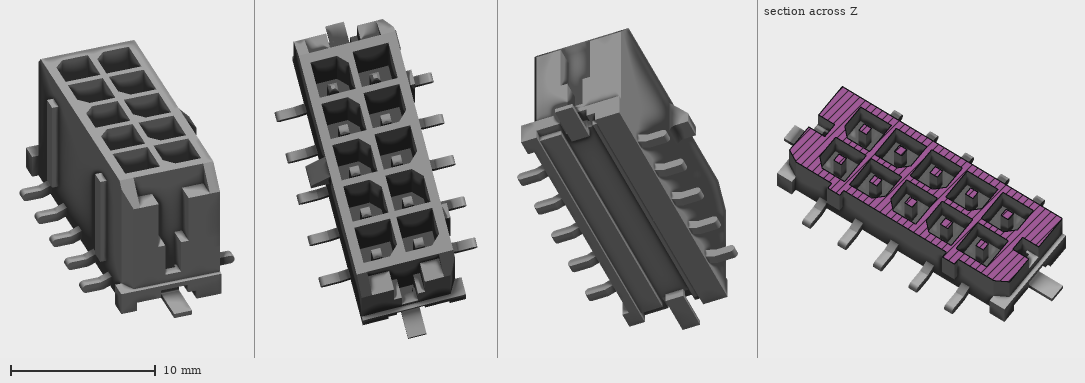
import cadquery as cq
import math

length = 22.65
height = 9.97
leg_span = 11.2

columns = 5
pitch = 3.0
contact_width = 0.65
pin_top = 5.44
pin_tip_height = 0.45
pin_tip_width = 0.27

body_length = 18.62
body_depth = 6.89
top_length = 15.9
shoulder_z = 8.31
corner_run = 0.95
corner_depth = 0.55
half_body = body_length / 2
half_depth = body_depth / 2
half_top = top_length / 2

foot_half_length = 9.6
foot_front = -3.92
foot_height = 1.65
foot_inner_x = half_body - corner_run

cavity_width = 2.55
cavity_floor = 1.81
cavity_corner = 0.68
back_row_keys = (-1, 1, 1, 1, 1)
front_row_keys = (-1, 1, -1, -1, 0)

end_recess_front = -2.42
end_recess_back = 2.7
wide_slot_front = -1.06
wide_slot_back = 1.13
wide_slot_floor = 4.75
narrow_slot_width = 1.15
narrow_slot_floor = 2.3
nail_hole_width = 0.82
nail_hole_step_x = 8.35

tab_width = 1.31
tab_thickness = 0.35
tab_height = 1.3
tab_upright_x = 8.65
tab_bend_radius = 0.1
tab_recess_width = 2.0
tab_recess_x = 8.52

channel_width = 2.35
channel_height = 0.68
clearance_front = -2.76
clearance_back = 1.6
clearance_height = 0.27
end_notch_depth = 0.63

rib_width = 1.05
rib_offset = 4.85
latch_width = 1.45
latch_reach = 1.38
latch_top = 9.42
latch_nose_top = 7.85
latch_nose_bottom = 7.02
latch_fillet = 0.45

leg_thickness = 0.63
leg_bend_y = 4.2
leg_rise = 0.3
leg_root_inset = 0.23


def block(x_range, y_range, z_range):
    """Box spanning the given pairs of limits, in any order."""
    limits = [sorted(pair) for pair in (x_range, y_range, z_range)]
    sizes = [high - low for low, high in limits]
    corner = tuple(low for low, high in limits)
    return cq.Workplane("XY").box(*sizes, centered=False).translate(corner)


def centered_range(width, middle=0.0):
    return (middle - width / 2, middle + width / 2)


def housing_shell():
    """Block with sloped upper ends and bevelled front vertical corners."""
    plan = [
        (-half_body, half_depth),
        (-half_body, corner_depth - half_depth),
        (-foot_inner_x, -half_depth),
        (foot_inner_x, -half_depth),
        (half_body, corner_depth - half_depth),
        (half_body, half_depth),
    ]
    elevation = [
        (-half_body, 0),
        (half_body, 0),
        (half_body, shoulder_z),
        (half_top, height),
        (-half_top, height),
        (-half_body, shoulder_z),
    ]
    prism = cq.Workplane("XY").polyline(plan).close().extrude(height)
    profile = cq.Workplane("XZ").polyline(elevation).close().extrude(half_depth, both=True)
    return prism.intersect(profile)


def end_foot(side):
    return block(
        (side * foot_inner_x, side * foot_half_length), (foot_front, half_depth), (0, foot_height)
    )


def end_pockets(side):
    """Stepped slot in one end face, with the hole for the solder tab in its floor."""
    outside = side * foot_half_length
    inner = side * half_top
    recess = block((inner, outside), (end_recess_front, end_recess_back), (shoulder_z, height))
    wide = block((inner, outside), (wide_slot_front, wide_slot_back), (wide_slot_floor, height))
    narrow_y = centered_range(narrow_slot_width)
    narrow = block((inner, outside), narrow_y, (narrow_slot_floor, height))
    hole_z = (tab_height, narrow_slot_floor)
    hole = block((inner, side * tab_upright_x), centered_range(nail_hole_width), hole_z)
    hole_back = block((inner, side * nail_hole_step_x), narrow_y, hole_z)
    return recess.union(wide).union(narrow).union(hole).union(hole_back)


def underside_clearance():
    """Lengthwise channels under the housing and the notches that open them at the ends."""
    x_range = (-foot_half_length, foot_half_length)
    clearance_y = (clearance_front, clearance_back)
    cut = block(x_range, centered_range(channel_width), (0, channel_height))
    cut = cut.union(block(x_range, clearance_y, (0, clearance_height)))
    for side in (-1, 1):
        notch_x = (side * (foot_half_length - end_notch_depth), side * foot_half_length)
        cut = cut.union(block(notch_x, clearance_y, (0, channel_height)))
        recess_x = (side * tab_recess_x, side * foot_half_length)
        cut = cut.union(block(recess_x, centered_range(tab_recess_width), (0, tab_height)))
    return cut


def solder_tab(side):
    """L-shaped tab: a flat tongue with an upright rising into the housing."""
    tab_y = centered_range(tab_width)
    upright_inner_x = side * (tab_upright_x - tab_thickness)
    tongue = block((upright_inner_x, side * length / 2), tab_y, (0, tab_thickness))
    upright = block((upright_inner_x, side * tab_upright_x), tab_y, (0, tab_height))
    bend_x = side * tab_upright_x
    inside_bend = cq.selectors.NearestToPointSelector((bend_x, 0, tab_thickness))
    return tongue.union(upright).edges(inside_bend).fillet(tab_bend_radius)


def cavity(x, y, key):
    half = cavity_width / 2
    x_range = centered_range(cavity_width, x)
    y_range = centered_range(cavity_width, y)
    cut = block(x_range, y_range, (cavity_floor, height))
    if key == 0:
        return cut
    corner = [
        (x + key * half, y - half),
        (x + key * (half - cavity_corner), y - half),
        (x + key * half, y - half + cavity_corner),
    ]
    wedge = cq.Workplane("XY").polyline(corner).close().extrude(height)
    return cut.cut(wedge)


def pin(x, y, tapered):
    x_range = centered_range(contact_width, x)
    y_range = centered_range(contact_width, y)
    square = block(x_range, y_range, (channel_height, pin_top))
    if not tapered:
        return square
    tip = (
        cq.Workplane("XY", origin=(x, y, pin_top))
        .rect(contact_width, contact_width)
        .workplane(offset=pin_tip_height)
        .rect(pin_tip_width, pin_tip_width)
        .loft()
    )
    return square.union(tip)


def leg(x, row):
    """Bent leg with a rounded tip; row is 1 for the back and -1 for the front."""
    slope = leg_rise / (leg_bend_y - half_depth)
    root_y = half_depth - leg_root_inset
    root_rise = slope * (leg_bend_y - root_y)
    lower_bend_y = leg_bend_y - leg_thickness * math.tan(math.atan(slope) / 2)
    lower_root = slope * (lower_bend_y - root_y)
    tip_y = leg_span / 2
    tip_start = tip_y - leg_thickness / 2
    return (
        cq.Workplane("YZ", origin=(x, 0, 0))
        .moveTo(row * root_y, lower_root)
        .lineTo(row * lower_bend_y, 0)
        .lineTo(row * tip_start, 0)
        .threePointArc((row * tip_y, leg_thickness / 2), (row * tip_start, leg_thickness))
        .lineTo(row * leg_bend_y, leg_thickness)
        .lineTo(row * root_y, leg_thickness + root_rise)
        .close()
        .extrude(contact_width / 2, both=True)
    )


def latch():
    """Ramped hook on the back wall with a hollow fillet beneath it."""
    fillet_y = half_depth + latch_fillet
    nose_y = half_depth + latch_reach
    arc_gap = latch_fillet * (1 - math.sqrt(0.5))
    return (
        cq.Workplane("YZ")
        .moveTo(half_depth, latch_top)
        .lineTo(nose_y, latch_nose_top)
        .lineTo(nose_y, latch_nose_bottom)
        .lineTo(fillet_y, latch_nose_bottom)
        .threePointArc(
            (half_depth + arc_gap, latch_nose_bottom - arc_gap),
            (half_depth, latch_nose_bottom - latch_fillet),
        )
        .close()
        .extrude(latch_width / 2, both=True)
    )


def rib(x):
    return block(centered_range(rib_width, x), (foot_front, -half_depth), (foot_height, shoulder_z))


result = housing_shell()
for side in (-1, 1):
    result = result.union(end_foot(side)).cut(end_pockets(side))
result = result.cut(underside_clearance())
for side in (-1, 1):
    result = result.union(solder_tab(side)).union(rib(side * rib_offset))
result = result.union(latch())

for row, keys in ((1, back_row_keys), (-1, front_row_keys)):
    row_y = row * pitch / 2
    for column, key in enumerate(keys):
        x = (column - (columns - 1) / 2) * pitch
        is_last = column == columns - 1
        result = result.cut(cavity(x, row_y, key))
        result = result.union(pin(x, row_y, is_last)).union(leg(x, row))